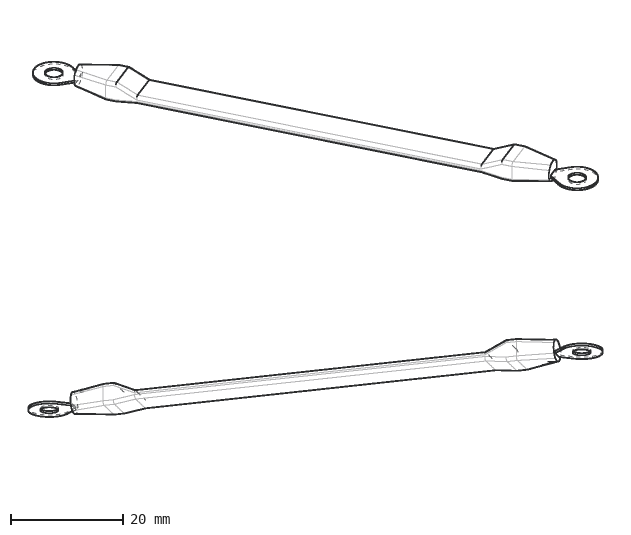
import cadquery as cq
import math

LENGTH = 107.5
EYE_DIAMETER = 7.5
HOLE_DIAMETER = 3.2

MOUTH_DISTANCE = 8.4
COLLAR_OUTER_DISTANCE = 14.9
COLLAR_INNER_DISTANCE = 16.9
STRAP_DISTANCE = 20.8

SLEEVE_WIDTH = 6.8
SLEEVE_HEIGHT = 4.0
MOUTH_RADIUS = SLEEVE_HEIGHT / 2
CORNER_ARC_ANGLE = 30
STRAP_HEIGHT = 1.6
CORNER_RADIUS = 0.6
TONGUE_THICKNESS = 0.4
TONGUE_NECK_WIDTH = 2.3
TONGUE_EMBED = 1.1
STRAP_Z = -0.6

HALF_LENGTH = LENGTH / 2
EYE_X = HALF_LENGTH - EYE_DIAMETER / 2
MOUTH_X = HALF_LENGTH - MOUTH_DISTANCE
COLLAR_OUTER_X = HALF_LENGTH - COLLAR_OUTER_DISTANCE
COLLAR_INNER_X = HALF_LENGTH - COLLAR_INNER_DISTANCE
STRAP_END_X = HALF_LENGTH - STRAP_DISTANCE


def cross_section(x, height, center_z=0):
    """Rounded rectangle of the sleeve width, in the YZ plane at x."""
    outline = cq.Sketch().rect(SLEEVE_WIDTH, height).vertices().fillet(CORNER_RADIUS)
    return cq.Workplane("YZ", origin=(x, 0, center_z)).placeSketch(outline)


def loft_between(start, end):
    """Solid lofted between two wires."""
    return cq.Workplane(cq.Solid.makeLoft([start, end]))


def section_wire(x, height, center_z=0):
    """Outer wire of a sleeve or strap cross section."""
    return cross_section(x, height, center_z).extrude(1.1).faces("<X").wires().val()


def mouth_wire():
    """Mouth circle split into eight arcs, one for each edge of the rounded rectangle."""
    def at(degrees):
        angle = math.radians(degrees)
        return cq.Vector(MOUTH_X, MOUTH_RADIUS * math.cos(angle), MOUTH_RADIUS * math.sin(angle))

    arcs = []
    for quadrant_start in (0, 90, 180, 270):
        corner_start = quadrant_start + 45 - CORNER_ARC_ANGLE / 2
        corner_end = corner_start + CORNER_ARC_ANGLE
        next_corner = corner_start + 90
        arcs.append(cq.Edge.makeThreePointArc(at(corner_start), at(quadrant_start + 45), at(corner_end)))
        arcs.append(cq.Edge.makeThreePointArc(at(corner_end), at(quadrant_start + 90), at(next_corner)))
    return cq.Wire.assembleEdges(arcs)


def make_sleeve():
    """Round mouth, rectangular collar and taper down to the strap."""
    mouth = mouth_wire()
    collar_outer = section_wire(COLLAR_OUTER_X, SLEEVE_HEIGHT)
    collar_inner = section_wire(COLLAR_INNER_X, SLEEVE_HEIGHT)
    strap_end = section_wire(STRAP_END_X, STRAP_HEIGHT, STRAP_Z)
    collar = cross_section(COLLAR_INNER_X, SLEEVE_HEIGHT).extrude(COLLAR_OUTER_X - COLLAR_INNER_X)
    nose = loft_between(collar_outer, mouth)
    taper = loft_between(strap_end, collar_inner)
    return collar.union(nose).union(taper)


def make_tongue():
    """Flat eyelet whose straight flanks are tangent to the eye and narrow to the neck."""
    plane = cq.Workplane("XY", origin=(0, 0, STRAP_Z - TONGUE_THICKNESS / 2))
    eye_radius = EYE_DIAMETER / 2
    eye = plane.center(EYE_X, 0).circle(eye_radius).extrude(TONGUE_THICKNESS)
    half_neck = TONGUE_NECK_WIDTH / 2

    reach = EYE_X - MOUTH_X
    span_squared = reach**2 + half_neck**2
    tangent_length = (span_squared - eye_radius**2) ** 0.5
    tangent_x = EYE_X - eye_radius * (eye_radius * reach - tangent_length * half_neck) / span_squared
    tangent_y = eye_radius * (eye_radius * half_neck + tangent_length * reach) / span_squared
    neck = (
        plane.moveTo(MOUTH_X - TONGUE_EMBED, -half_neck)
        .lineTo(MOUTH_X, -half_neck)
        .lineTo(tangent_x, -tangent_y)
        .lineTo(tangent_x, tangent_y)
        .lineTo(MOUTH_X, half_neck)
        .lineTo(MOUTH_X - TONGUE_EMBED, half_neck)
        .close()
        .extrude(TONGUE_THICKNESS)
    )
    hole = plane.center(EYE_X, 0).circle(HOLE_DIAMETER / 2).extrude(TONGUE_THICKNESS)
    return eye.union(neck).cut(hole)


strap = cross_section(-STRAP_END_X, STRAP_HEIGHT, STRAP_Z).extrude(2 * STRAP_END_X)
end_fitting = make_sleeve().union(make_tongue())
result = strap.union(end_fitting).union(end_fitting.mirror("YZ"))